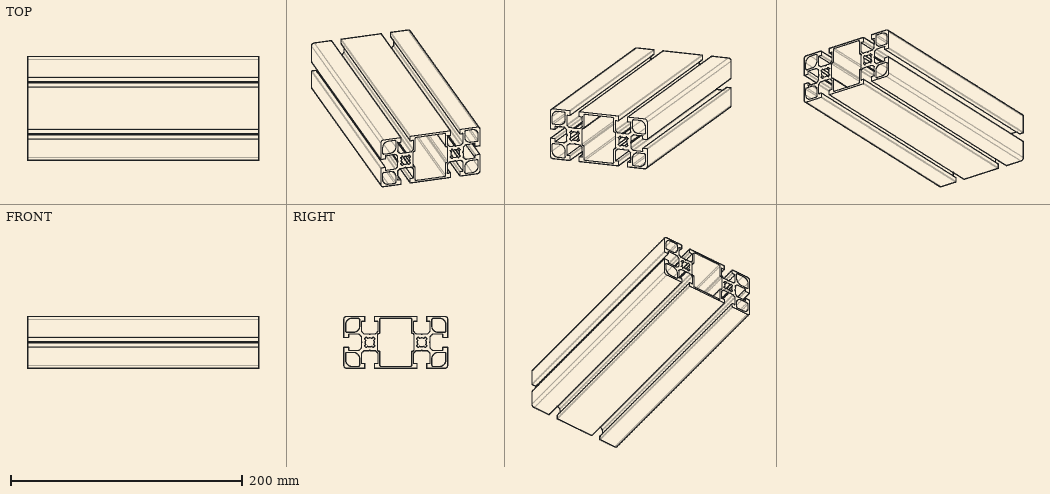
import cadquery as cq
import math

length = 200.0
height = 45.0
width = 2 * height
corner_radius = 2.5

core_offset = height / 2
core_y = width / 2 - core_offset

slot_opening = 8.2
lip_depth = 4.5
lip_round = 0.5
slot_width = 14.0
slot_depth = 15.2
slot_bevel = 2.0
slot_bevel_round = 0.8
groove_width = 1.5
groove_depth = 0.5

wall = 1.8
chamber_size = core_offset - slot_width / 2 - 2 * wall
chamber_large_round = 5.2
chamber_small_round = 1.0

center_width = 27.5
center_height = height - 2 * wall
center_round = 1.0
relief_width = 31.2
relief_height = 15.2
relief_round = 1.0
relief_edge_round = 0.5

bore_diameter = 7.5
clearance_length = 10.5
clearance_width = 2.2

overshoot = 2.0
match_tolerance = 0.02


def section():
    """Workplane at the -X end; its local axes are Y and Z."""
    return cq.Workplane("YZ", origin=(-length / 2, 0, 0))


def mirrored(points):
    """The points (a, b) together with their mirror images (-a, b)."""
    return points + [(-a, b) for a, b in points]


def round_edges(body, points, radius):
    """Round the lengthwise edges of the body that pass through the (Y, Z) points."""

    def is_wanted(edge):
        center = edge.Center()
        return any(math.dist((center.y, center.z), point) < match_tolerance for point in points)

    return body.edges("|X").filter(is_wanted).fillet(radius)


def make_slot():
    """T-slot cutter opening towards +Z, with the outer face at Z = 0."""
    opening = slot_opening / 2
    inside = slot_width / 2
    bevel_ends = [(inside, slot_bevel - slot_depth), (inside - slot_bevel, -slot_depth)]
    right_half = [
        (opening, overshoot),
        (opening, -lip_depth),
        (inside, -lip_depth),
        *bevel_ends,
        (groove_width / 2, -slot_depth),
    ]
    groove_bottom = (0, -slot_depth - groove_depth)
    left_half = [(-y, z) for y, z in reversed(right_half)]
    cutter = section().polyline(right_half + [groove_bottom] + left_half).close().extrude(length)
    return round_edges(cutter, mirrored(bevel_ends), slot_bevel_round)


def cut_slots(body):
    """Cut a slot into every outer face around both cores, then round the lips."""
    core_slot = make_slot().translate((0, 0, core_offset))
    for side in (-1, 1):
        for angle in (0, 90 * -side, 180):
            slot = core_slot.rotate((0, 0, 0), (1, 0, 0), angle)
            body = body.cut(slot.translate((0, side * core_y, 0)))

    lip_edges = []
    for depth in (0, lip_depth):
        for edge in (-slot_opening / 2, slot_opening / 2):
            for side in (-1, 1):
                lip_edges.append((side * (width / 2 - depth), edge))
                for center in (-core_y, core_y):
                    lip_edges.append((center + edge, side * (height / 2 - depth)))
    return round_edges(body, lip_edges, lip_round)


def make_corner_chamber():
    """Hollow of the +Y +Z corner; its largest rounds lie on the diagonal through the corner."""
    inset = wall + chamber_size / 2
    half = chamber_size / 2
    chamber = section().rect(chamber_size, chamber_size).extrude(length)
    chamber = round_edges(chamber, [(half, half), (-half, -half)], chamber_large_round)
    chamber = round_edges(chamber, [(half, -half), (-half, half)], chamber_small_round)
    return chamber.translate((0, width / 2 - inset, height / 2 - inset))


def cut_corner_chambers(body):
    upper_right = make_corner_chamber()
    upper_left = upper_right.mirror("XZ")
    for chamber in (upper_right, upper_left):
        body = body.cut(chamber).cut(chamber.mirror("XY"))
    return body


def make_center_chamber():
    chamber = section().rect(center_width, center_height).extrude(length)
    chamber = chamber.edges("|X").fillet(center_round)
    relief = section().rect(relief_width, relief_height).extrude(length)
    relief = relief.edges("|X").fillet(relief_round)
    chamber = chamber.union(relief)
    step = (center_width / 2, relief_height / 2)
    steps = mirrored([step, (step[0], -step[1])])
    return round_edges(chamber, steps, relief_edge_round)


def make_core_hole():
    hole = section().circle(bore_diameter / 2).extrude(length)
    for angle in (45, -45):
        clearance = section().rect(clearance_length, clearance_width).extrude(length)
        hole = hole.union(clearance.rotate((0, 0, 0), (1, 0, 0), angle))
    return hole


profile = section().rect(width, height).extrude(length).edges("|X").fillet(corner_radius)
profile = cut_slots(profile)
profile = cut_corner_chambers(profile)
profile = profile.cut(make_center_chamber())
for y in (-core_y, core_y):
    profile = profile.cut(make_core_hole().translate((0, y, 0)))

result = profile